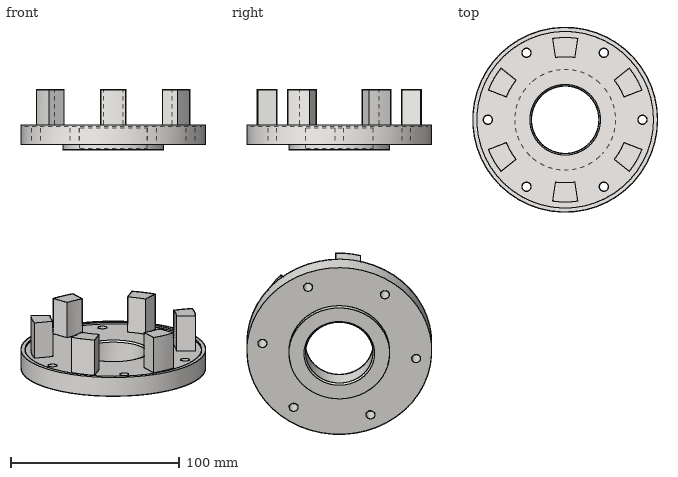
import cadquery as cq
import math

disc_diameter = 110.0
disc_thickness = 11.8
boss_diameter = 60.0
boss_height = 3.2
bore_diameter = 40.0

recess_diameter = 105.0
recess_depth = 1.0

bore_chamfer = 1.0

jaw_count = 6
jaw_inner_radius = 37.5
jaw_outer_radius = 49.0
jaw_height = 21.0
jaw_half_angle = 8.8
first_jaw_angle = 30
hole_count = 6
hole_diameter = 5.3
hole_circle_radius = 46.0

disc_top = boss_height + disc_thickness
recess_floor = disc_top - recess_depth
jaw_top = disc_top + jaw_height


def polar(radius, degrees):
    """Point in the XY plane at a radius and angle from the axis."""
    angle = math.radians(degrees)
    return radius * math.cos(angle), radius * math.sin(angle)


def make_body():
    """Disc on its boss, with the recess and the bore chamfered at both ends."""
    body = cq.Workplane("XY").circle(boss_diameter / 2).extrude(boss_height)
    disc = (
        cq.Workplane("XY", origin=(0, 0, boss_height))
        .circle(disc_diameter / 2)
        .extrude(disc_thickness)
    )
    recess = cq.Workplane("XY", origin=(0, 0, recess_floor)).circle(recess_diameter / 2).extrude(recess_depth)
    bore = cq.Workplane("XY").circle(bore_diameter / 2).extrude(disc_top)
    body = body.union(disc).cut(recess).cut(bore)
    bore_rims = cq.selectors.RadiusNthSelector(0)
    return body.edges(bore_rims).chamfer(bore_chamfer)


def make_jaw(center_angle):
    """Ring-sector jaw standing on the recess floor."""
    start = center_angle - jaw_half_angle
    end = center_angle + jaw_half_angle
    return (
        cq.Workplane("XY", origin=(0, 0, recess_floor))
        .moveTo(*polar(jaw_inner_radius, start))
        .lineTo(*polar(jaw_outer_radius, start))
        .threePointArc(polar(jaw_outer_radius, center_angle), polar(jaw_outer_radius, end))
        .lineTo(*polar(jaw_inner_radius, end))
        .threePointArc(polar(jaw_inner_radius, center_angle), polar(jaw_inner_radius, start))
        .close()
        .extrude(jaw_top - recess_floor)
    )


result = make_body()
for index in range(jaw_count):
    result = result.union(make_jaw(first_jaw_angle + index * 360 / jaw_count))

bolt_holes = (
    cq.Workplane("XY")
    .polarArray(hole_circle_radius, 0, 360, hole_count)
    .circle(hole_diameter / 2)
    .extrude(disc_top)
)
result = result.cut(bolt_holes)